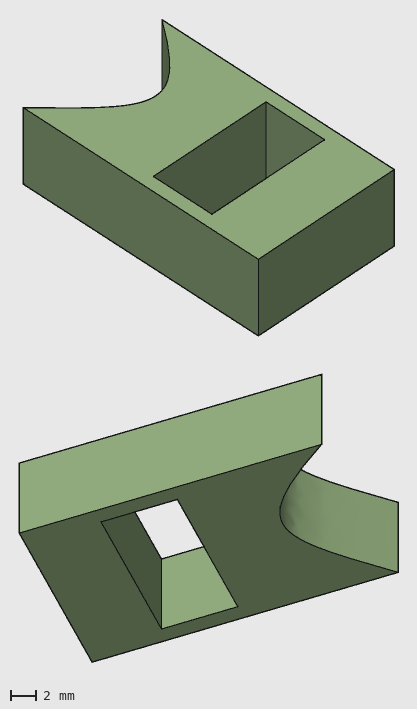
import cadquery as cq

length = 26.15
width = 15.3
height = 8.0

front_corner = (0, 0)
front_control = (7.69, 7.35)
back_control = (9.35, 8.9)
back_corner = (0.31, width)

window_start_x = 13.17
window_length = 6.5
window_margin = 1.3
window_width = width - 2 * window_margin


def make_block():
    """Extrude the block outline with its scooped end."""
    return (
        cq.Workplane("XY")
        .moveTo(*front_corner)
        .lineTo(length, 0)
        .lineTo(length, width)
        .lineTo(*back_corner)
        .bezier([back_corner, back_control, front_control, front_corner])
        .close()
        .extrude(height)
    )


def make_window():
    """Make the solid removed to open the window."""
    return (
        cq.Workplane("XY")
        .box(window_length, window_width, height, centered=False)
        .translate((window_start_x, window_margin, 0))
    )


result = make_block().cut(make_window())